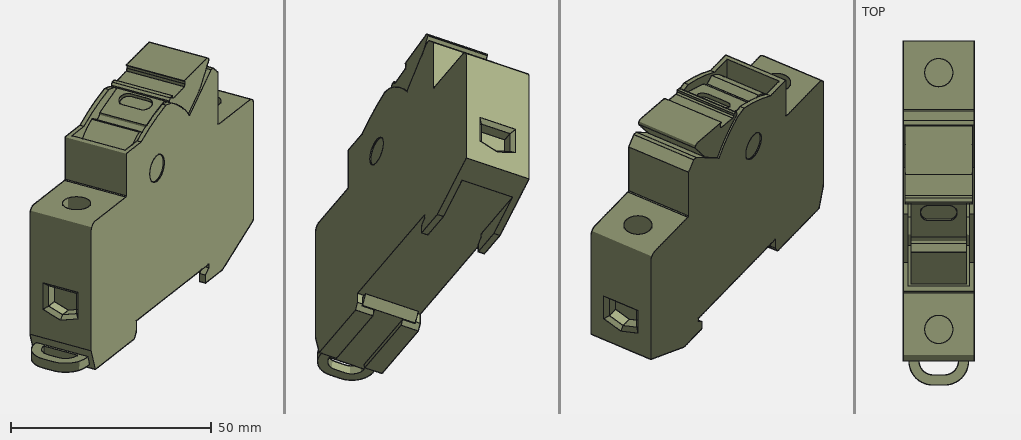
import cadquery as cq
import math

WIDTH = 17.8
OVERALL_LENGTH = 86.0
LENGTH = 80.0
BACK = LENGTH / 2
FRONT = -LENGTH / 2
DECK_Z = 41.9
DECK_EDGE_RADIUS = 2.0
WALL_FOOT_RUN = 0.35
WALL_FOOT_RISE = 0.2
BLOCK_BACK = 22.5
BLOCK_FRONT = -22.6
BLOCK_FRONT_Z = 54.0
BLOCK_EDGE_RADIUS = 0.35
NOTCH_BOTTOM = (8.4, 50.8)
NOTCH_RIM = (19.0, 58.9)
NOTCH_FRONT = (-0.5, 58.3)
CREST = (-3.2, 58.9)

RAIL_ROOF_Z = 4.65
RAIL_FRONT = -17.6
RAIL_BACK = 17.9
FRONT_CHANNEL_WIDTH = 8.0
FRONT_CHANNEL_HEIGHT = 1.3
BACK_CHANNEL_WIDTH = 14.3

LATCH_BOTTOM_Z = FRONT_CHANNEL_HEIGHT
LATCH_TOP_Z = 3.9
LATCH_WIDTH = 15.0
LATCH_TIP = -16.0
LOOP_FRONT = BACK - OVERALL_LENGTH
LOOP_OUTER_RADIUS = FRONT - LOOP_FRONT
LOOP_BAR = 2.6
LOOP_HOLE_BACK = -39.9
LOOP_INNER_RADIUS = LOOP_OUTER_RADIUS - LOOP_BAR

SCREW_Y = 32.1
SCREW_DIAMETER = 7.05
SCREW_DEPTH = 10.3
WIRE_WIDTH = 10.15
WIRE_TOP_Z = 21.7
WIRE_SIDE_Z = 14.2
WIRE_TIP_Z = 12.5
WIRE_BEVEL = 1.0
WIRE_DEPTH = 2.8

PIVOT_Y = -7.6
PIVOT_Z = 43.1
PIN_RADIUS = 3.6
PIN_RECESS = 0.35
POCKET_WIDTH = 15.4
POCKET_FLOOR_Z = 37.8
POCKET_FRONT = -21.2
POCKET_LENGTH = 27.5
ROTOR_WIDTH = 13.8
ROTOR_RADIUS = 13.2
ROTOR_CREST_Y = -12.9
WINDOW_FACE_TOP = (0.4, 58.7)
WINDOW_FACE_FOOT = (-9.0, 55.2)
WINDOW_LENGTH = 9.1
WINDOW_WIDTH = 4.0
WINDOW_Y = -3.0
WINDOW_DEPTH = 1.0

HANDLE_WIDTH = 16.85
HANDLE_TOP_Z = 62.6
HANDLE_BACK = 18.75
HANDLE_TIP_RADIUS = 1.0


def extrude_across(outline, width):
    """Extrude a closed YZ outline along X, centred on the middle plane."""
    return outline.extrude(width / 2, both=True)


def along_x(y, z, radius, length):
    """Cylinder along X, centred on the middle plane."""
    return extrude_across(cq.Workplane("YZ").center(y, z).circle(radius), length)


def notch_arc(outline):
    """Continue an outline from the bottom of the handle notch to its front end."""
    return outline.threePointArc((3.8, 55.55), NOTCH_FRONT)


def make_housing():
    r = DECK_EDGE_RADIUS
    e = BLOCK_EDGE_RADIUS
    corner = r * (1 - math.sqrt(0.5))
    edge = e * (1 - math.sqrt(0.5))
    outline = (
        cq.Workplane("YZ")
        .moveTo(24.6, 0)
        .lineTo(BACK, 7.2)
        .lineTo(BACK, DECK_Z - r)
        .threePointArc((BACK - corner, DECK_Z - corner), (BACK - r, DECK_Z))
        .lineTo(BLOCK_BACK + WALL_FOOT_RUN, DECK_Z)
        .lineTo(BLOCK_BACK, DECK_Z + WALL_FOOT_RISE)
        .lineTo(BLOCK_BACK, 56.6)
        .lineTo(20.1, 58.9)
        .lineTo(*NOTCH_RIM)
        .lineTo(*NOTCH_BOTTOM)
    )
    outline = (
        notch_arc(outline)
        .lineTo(*CREST)
        .threePointArc((-8.3, 57.3), (-15.4, BLOCK_FRONT_Z))
        .lineTo(BLOCK_FRONT + e, BLOCK_FRONT_Z)
        .threePointArc((BLOCK_FRONT + edge, BLOCK_FRONT_Z - edge), (BLOCK_FRONT, BLOCK_FRONT_Z - e))
        .lineTo(BLOCK_FRONT, DECK_Z + WALL_FOOT_RISE)
        .lineTo(BLOCK_FRONT - WALL_FOOT_RUN, DECK_Z)
        .lineTo(FRONT + r, DECK_Z)
        .threePointArc((FRONT + corner, DECK_Z - corner), (FRONT, DECK_Z - r))
        .lineTo(FRONT, 6.2)
        .lineTo(-37.9, 0)
        .lineTo(-18.7, 0)
        .lineTo(RAIL_FRONT, 1.7)
        .lineTo(RAIL_FRONT, RAIL_ROOF_Z)
        .lineTo(RAIL_BACK, RAIL_ROOF_Z)
        .lineTo(RAIL_BACK, 3.6)
        .lineTo(16.25, 2.3)
        .lineTo(16.25, 0)
        .close()
    )
    return extrude_across(outline, WIDTH)


def make_foot_channel(y_start, y_end, width, height):
    """Lengthwise channel in the underside of a foot."""
    channel = cq.Workplane("XY").box(width, y_end - y_start, height, centered=(True, False, False))
    return channel.translate((0, y_start, 0))


def make_latch():
    outline = (
        cq.Workplane("YZ")
        .moveTo(LATCH_TIP, LATCH_TOP_Z)
        .lineTo(LOOP_FRONT, LATCH_TOP_Z)
        .lineTo(LOOP_FRONT, LATCH_BOTTOM_Z)
        .lineTo(RAIL_FRONT, LATCH_BOTTOM_Z)
        .close()
    )
    latch = extrude_across(outline, LATCH_WIDTH)
    return latch.edges("|Z and <Y").fillet(LOOP_OUTER_RADIUS)


def make_loop_hole():
    hole_front = LOOP_FRONT + LOOP_BAR
    width = LATCH_WIDTH - 2 * LOOP_BAR
    length = LOOP_HOLE_BACK - hole_front
    hole = cq.Workplane("XY").box(width, length, LATCH_TOP_Z, centered=(True, False, False))
    return hole.translate((0, hole_front, 0)).edges("|Z and <Y").fillet(LOOP_INNER_RADIUS)


def make_screw_hole(y):
    return (
        cq.Workplane("XY", origin=(0, y, DECK_Z))
        .circle(SCREW_DIAMETER / 2)
        .extrude(-SCREW_DEPTH)
    )


def wire_outline(y, inset):
    """Pentagon of the wire entry, drawn inset from its mouth."""
    half = WIRE_WIDTH / 2
    tip_angle = math.atan2(WIRE_SIDE_Z - WIRE_TIP_Z, half)
    tip_z = WIRE_TIP_Z + inset / math.cos(tip_angle)
    side_z = tip_z + (half - inset) * math.tan(tip_angle)
    points = [
        (inset - half, WIRE_TOP_Z - inset),
        (half - inset, WIRE_TOP_Z - inset),
        (half - inset, side_z),
        (0, tip_z),
        (inset - half, side_z),
    ]
    return cq.Workplane("XZ", origin=(0, y, 0)).polyline(points).close().wires().val()


def make_wire_entry():
    """Front wire entry: a bevelled mouth followed by a straight pocket."""
    mouth = wire_outline(FRONT, 0)
    throat = wire_outline(FRONT + WIRE_BEVEL, WIRE_BEVEL)
    bevel = cq.Solid.makeLoft([mouth, throat], True)
    straight = cq.Solid.extrudeLinear(throat, [], cq.Vector(0, WIRE_DEPTH, 0))
    return cq.Workplane(bevel).union(cq.Workplane(straight))


def make_pocket():
    pocket = cq.Workplane("XY").box(
        POCKET_WIDTH, POCKET_LENGTH, CREST[1] - POCKET_FLOOR_Z, centered=(True, False, False)
    )
    return pocket.translate((0, POCKET_FRONT, POCKET_FLOOR_Z))


def make_rotor():
    back = POCKET_FRONT + POCKET_LENGTH
    crest_z = PIVOT_Z + math.sqrt(ROTOR_RADIUS**2 - (ROTOR_CREST_Y - PIVOT_Y) ** 2)
    front = PIVOT_Y - ROTOR_RADIUS
    diagonal = ROTOR_RADIUS * math.sqrt(0.5)
    outline = (
        cq.Workplane("YZ")
        .moveTo(back, POCKET_FLOOR_Z)
        .lineTo(back, NOTCH_BOTTOM[1])
        .lineTo(*WINDOW_FACE_TOP)
        .lineTo(*WINDOW_FACE_FOOT)
        .threePointArc((-9.55, 54.3), (-10.7, 54.0))
        .lineTo(-11.7, 54.5)
        .lineTo(-12.7, 55.3)
        .lineTo(ROTOR_CREST_Y, crest_z)
        .threePointArc((PIVOT_Y - diagonal, PIVOT_Z + diagonal), (front, PIVOT_Z))
        .lineTo(front, POCKET_FLOOR_Z)
        .close()
    )
    return extrude_across(outline, ROTOR_WIDTH)


def make_window():
    """Shallow oblong recess square to the sloping face of the rotor."""
    run = WINDOW_FACE_TOP[0] - WINDOW_FACE_FOOT[0]
    rise = WINDOW_FACE_TOP[1] - WINDOW_FACE_FOOT[1]
    z = WINDOW_FACE_FOOT[1] + (WINDOW_Y - WINDOW_FACE_FOOT[0]) * rise / run
    face = cq.Plane(origin=(0, WINDOW_Y, z), xDir=(1, 0, 0), normal=(0, -rise, run))
    return cq.Workplane(face).slot2D(WINDOW_LENGTH, WINDOW_WIDTH).extrude(-WINDOW_DEPTH)


def make_handle():
    tip_y = HANDLE_BACK - HANDLE_TIP_RADIUS
    tip_z = HANDLE_TOP_Z - HANDLE_TIP_RADIUS
    diagonal = HANDLE_TIP_RADIUS * math.sqrt(0.5)
    outline = cq.Workplane("YZ").moveTo(14.1, 55.1).lineTo(*NOTCH_BOTTOM)
    outline = (
        notch_arc(outline)
        .lineTo(-0.7, 58.8)
        .lineTo(-0.3, 59.5)
        .lineTo(0.8, 59.7)
        .lineTo(0.8, 59.0)
        .lineTo(1.4, 58.7)
        .lineTo(6.7, 59.5)
        .lineTo(7.0, 60.2)
        .lineTo(7.0, 60.9)
        .lineTo(6.6, 61.2)
        .lineTo(tip_y, HANDLE_TOP_Z)
        .threePointArc((tip_y + diagonal, tip_z + diagonal), (HANDLE_BACK, tip_z))
        .close()
    )
    return extrude_across(outline, HANDLE_WIDTH)


front_channel = make_foot_channel(FRONT, RAIL_FRONT, FRONT_CHANNEL_WIDTH, FRONT_CHANNEL_HEIGHT)
back_channel = make_foot_channel(RAIL_FRONT, BACK, BACK_CHANNEL_WIDTH, RAIL_ROOF_Z)
result = make_housing().cut(front_channel).cut(back_channel)

result = result.union(make_latch()).cut(make_loop_hole())

for screw_y in (-SCREW_Y, SCREW_Y):
    result = result.cut(make_screw_hole(screw_y))

wire_entry = make_wire_entry()
result = result.cut(wire_entry).cut(wire_entry.mirror("XZ"))

result = result.cut(make_pocket())
result = result.union(make_rotor()).cut(make_window())
result = result.union(along_x(PIVOT_Y, PIVOT_Z, PIN_RADIUS, POCKET_WIDTH))
result = result.union(make_handle())

pin_ends = along_x(PIVOT_Y, PIVOT_Z, PIN_RADIUS, WIDTH)
pin_ends = pin_ends.cut(along_x(PIVOT_Y, PIVOT_Z, PIN_RADIUS, WIDTH - 2 * PIN_RECESS))
result = result.cut(pin_ends)